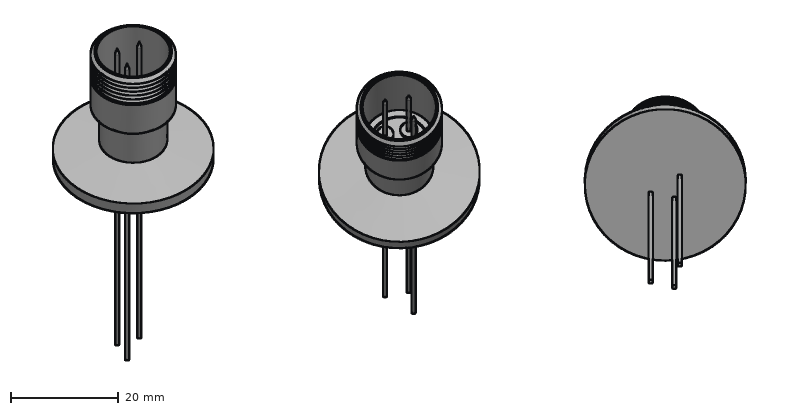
import cadquery as cq
import math

TOTAL_HEIGHT = 75.95

FLANGE_DIAMETER = 30.0
FLANGE_RIM_HEIGHT = 2.5
FLANGE_CONE_ANGLE = 15

NECK_RADIUS = 6.4
NECK_HEIGHT = 7.4
SHELL_RADIUS = 8.0
SHELL_HEIGHT = 7.3
SHELL_BORE_RADIUS = 6.8

THREAD_LENGTH = 6.2
THREAD_DEPTH = 0.45
THREAD_CRESTS = 6
LEAD_CHAMFER = 0.75

HEADER_RADIUS = 5.5
HEADER_RECESS = 0.4
SLEEVE_RADIUS = 1.6

PIN_RADIUS = 0.4
PIN_CIRCLE_RADIUS = 3.2
PIN_ANGLES = (90, 180, 270)
PIN_TIP_LENGTH = 1.3
PIN_TIP_DEPTH = 0.3

flange_radius = FLANGE_DIAMETER / 2
flange_cone_height = (flange_radius - NECK_RADIUS) * math.tan(math.radians(FLANGE_CONE_ANGLE))

neck_bottom = FLANGE_RIM_HEIGHT + flange_cone_height
neck_top = neck_bottom + NECK_HEIGHT
shell_bottom = neck_top + SHELL_RADIUS - NECK_RADIUS
thread_bottom = shell_bottom + SHELL_HEIGHT
shell_top = thread_bottom + THREAD_LENGTH
lead_bottom = shell_top - TOTAL_HEIGHT
pin_top = shell_top - PIN_TIP_DEPTH
header_top = shell_bottom - HEADER_RECESS


def thread_profile():
    """Points of the thread from the shoulder up to the highest crest."""
    root_radius = SHELL_RADIUS - THREAD_DEPTH
    pitch = (THREAD_LENGTH - LEAD_CHAMFER) / (THREAD_CRESTS - 0.5)
    points = []
    for ring in range(THREAD_CRESTS):
        root_level = thread_bottom + ring * pitch
        points.append((root_radius, root_level))
        points.append((SHELL_RADIUS, root_level + pitch / 2))
    return points


def make_body():
    """Flange, neck and threaded shell revolved about Z, with its open bore."""
    profile = [
        (0, 0),
        (flange_radius, 0),
        (flange_radius, FLANGE_RIM_HEIGHT),
        (NECK_RADIUS, neck_bottom),
        (NECK_RADIUS, neck_top),
        (SHELL_RADIUS, shell_bottom),
        (SHELL_RADIUS, thread_bottom),
        *thread_profile(),
        (SHELL_RADIUS - LEAD_CHAMFER, shell_top),
        (SHELL_BORE_RADIUS, shell_top),
        (SHELL_BORE_RADIUS, shell_bottom),
        (HEADER_RADIUS, shell_bottom),
        (HEADER_RADIUS, header_top),
        (0, header_top),
    ]
    return cq.Workplane("XZ").polyline(profile).close().revolve(360, (0, 0), (0, 1))


def make_pin():
    """One pin on the Z axis with a pointed tip and its sleeve level with the shell floor."""
    pin = (
        cq.Workplane("XZ")
        .polyline([
            (0, lead_bottom),
            (PIN_RADIUS, lead_bottom),
            (PIN_RADIUS, pin_top - PIN_TIP_LENGTH),
            (0, pin_top),
        ])
        .close()
        .revolve(360, (0, 0), (0, 1))
    )
    sleeve = cq.Workplane("XY").circle(SLEEVE_RADIUS).extrude(shell_bottom)
    return pin.union(sleeve)


result = make_body()
for angle in PIN_ANGLES:
    pin = make_pin().translate((PIN_CIRCLE_RADIUS, 0, 0)).rotate((0, 0, 0), (0, 0, 1), angle)
    result = result.union(pin)